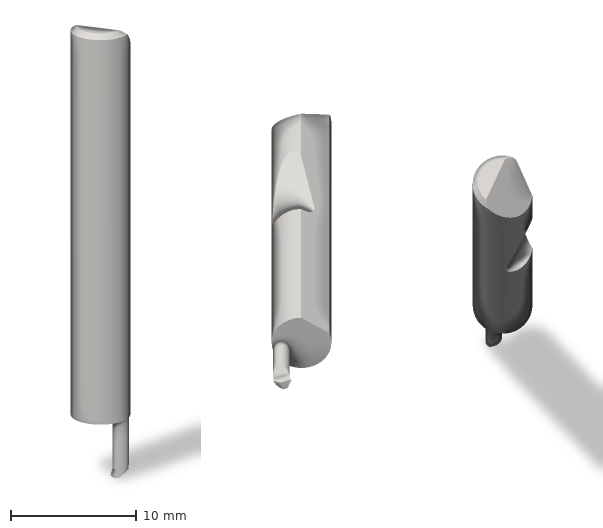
import cadquery as cq

total_length = 38.1
shank_diameter = 4.75
shank_radius = shank_diameter / 2
shank_bottom = 5.05
top_chamfer = 0.42

flat_angle = 142.8
flat_distance = 2.0

slope_offset = 37.5

notch_bottom = 21.15
notch_top = 29.85
notch_depth = 1.35
notch_radius = 1.03

neck_diameter = 1.35
neck_radius = neck_diameter / 2
neck_x = shank_radius - neck_radius

rake_runout_start = 1.0
rake_runout_end = 1.6
tip_x = 0.85
head_top = 0.8
head_bottom = 0.1
tip_width = 0.1
heel_x = 1.8
flank_shift = 0.57
tip_rise = 0.08
cutter_side_x = neck_x - neck_radius

margin = 1.9


def make_shank():
    """Round bar with a chamfered top, a long flat and a sloped end."""
    shank = (
        cq.Workplane("XY", origin=(0, 0, shank_bottom))
        .circle(shank_radius)
        .extrude(total_length - shank_bottom)
        .faces(">Z")
        .chamfer(top_chamfer)
    )
    flat_cutter = (
        cq.Workplane("XY")
        .box(shank_diameter, 2 * shank_diameter, total_length + margin, centered=(False, True, False))
        .translate((flat_distance, 0, 0))
        .rotate((0, 0, 0), (0, 0, 1), flat_angle)
    )
    outer_y = shank_radius + margin
    slope_top = total_length + margin
    slope_cutter = (
        cq.Workplane("YZ")
        .polyline([
            (slope_offset - slope_top, slope_top),
            (outer_y, slope_offset - outer_y),
            (outer_y, slope_top),
        ])
        .close()
        .extrude(shank_diameter, both=True)
    )
    return shank.cut(flat_cutter).cut(slope_cutter)


def make_notch():
    """Notch with a flat lower wall, a rounded corner and a long ramp."""
    floor_y = shank_radius - notch_depth
    return (
        cq.Workplane("YZ")
        .polyline([
            (shank_radius, notch_top),
            (floor_y, notch_bottom),
            (shank_radius, notch_bottom),
        ])
        .close()
        .extrude(shank_diameter, both=True)
        .edges("<Y")
        .fillet(notch_radius)
    )


def make_neck():
    """Slim round neck ending in a half-round head with its rake face at Y = 0."""
    neck = (
        cq.Workplane("XY", origin=(neck_x, 0, head_bottom))
        .circle(neck_radius)
        .extrude(shank_bottom - head_bottom)
    )
    rake_cutter = (
        cq.Workplane("YZ")
        .polyline([
            (0, 0),
            (0, rake_runout_start),
            (neck_radius, rake_runout_end),
            (neck_diameter, rake_runout_end),
            (neck_diameter, 0),
        ])
        .close()
        .extrude(shank_diameter)
    )
    heel_reach = shank_diameter - heel_x
    heel_cutter = (
        cq.Workplane("XZ")
        .polyline([
            (heel_x, head_bottom),
            (heel_x + heel_reach, head_bottom + heel_reach),
            (heel_x + heel_reach, head_bottom),
        ])
        .close()
        .extrude(neck_diameter, both=True)
    )
    flank_cutter = (
        cq.Workplane("XY")
        .box(heel_x, neck_diameter, head_top, centered=(False, True, False))
    )
    return neck.cut(rake_cutter).cut(heel_cutter).cut(flank_cutter)


def tip_outline(shift, rise):
    """Tip outline in X, Z with its cutting side moved along X and its point raised."""
    return [
        (tip_x + shift, rise),
        (tip_x + tip_width + shift, head_bottom),
        (heel_x, head_bottom),
        (heel_x, head_top),
        (cutter_side_x + shift, head_top),
    ]


def make_tip():
    """Pointed cutting tip whose flanks fall away behind the rake face."""
    return (
        cq.Workplane("XZ")
        .polyline(tip_outline(0, 0))
        .close()
        .workplane(offset=neck_radius)
        .polyline(tip_outline(flank_shift, tip_rise))
        .close()
        .loft(ruled=True)
    )


result = make_shank().cut(make_notch()).union(make_neck()).union(make_tip())